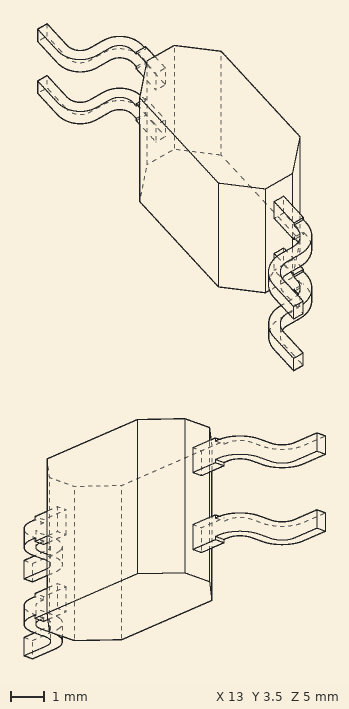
import cadquery as cq

total_length = 13.0
body_length = 6.0
body_depth = 3.0
body_height = 5.0
body_chamfer = 1.0

lead_thickness = 0.35
lead_width = 0.6
lead_pitch = 2.5
shoulder_length = 1.0
shoulder_width = 0.8
foot_length = 1.0
foot_drop = 0.5
bend_inner_radius = 0.5
bend_outer_radius = bend_inner_radius + lead_thickness

body_end_x = body_length / 2
tip_x = total_length / 2
foot_bend_x = tip_x - foot_length
riser_outer_x = foot_bend_x - bend_inner_radius
riser_inner_x = riser_outer_x - lead_thickness
shoulder_bend_x = riser_inner_x - bend_inner_radius
lead_top_y = lead_thickness / 2
lead_under_y = -lead_thickness / 2
foot_under_y = -body_depth / 2 - foot_drop
foot_top_y = foot_under_y + lead_thickness


def make_body():
    block = cq.Workplane("XY").box(body_length, body_depth, body_height)
    return block.edges("|Z").chamfer(body_chamfer)


def make_lead():
    """One lead on the +X side, centred on Z = 0."""
    strip = (
        cq.Workplane("XY")
        .moveTo(body_end_x, lead_top_y)
        .lineTo(shoulder_bend_x, lead_top_y)
        .tangentArcPoint((riser_outer_x, lead_top_y - bend_outer_radius), relative=False)
        .lineTo(riser_outer_x, foot_top_y + bend_inner_radius)
        .tangentArcPoint((foot_bend_x, foot_top_y), relative=False)
        .lineTo(tip_x, foot_top_y)
        .lineTo(tip_x, foot_under_y)
        .lineTo(foot_bend_x, foot_under_y)
        .tangentArcPoint((riser_inner_x, foot_under_y + bend_outer_radius), relative=False)
        .lineTo(riser_inner_x, lead_under_y - bend_inner_radius)
        .tangentArcPoint((shoulder_bend_x, lead_under_y), relative=False)
        .lineTo(body_end_x, lead_under_y)
        .close()
        .extrude(lead_width / 2, both=True)
    )
    shoulder = cq.Workplane("XY").box(shoulder_length, lead_thickness, shoulder_width)
    return strip.union(shoulder.translate((body_end_x + shoulder_length / 2, 0, 0)))


result = make_body()
right_lead = make_lead()
left_lead = right_lead.mirror("YZ")
for lead_z in (-lead_pitch / 2, lead_pitch / 2):
    for lead in (left_lead, right_lead):
        result = result.union(lead.translate((0, 0, lead_z)))